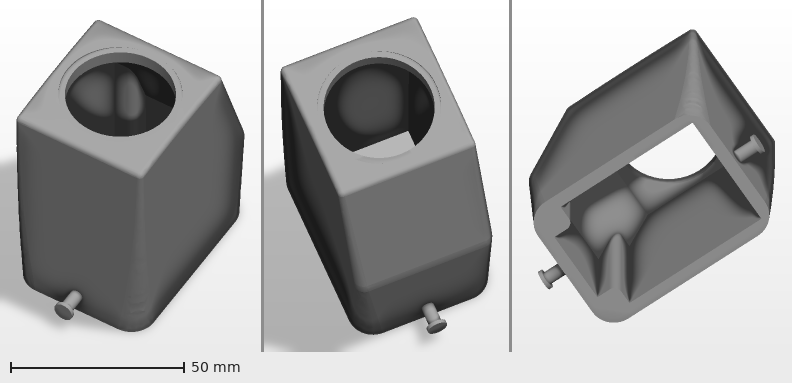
import cadquery as cq
import math

width = 43.0
base_half_depth = 30.1
height = 72.0
front_lean = 0.8
knee_y = 29.7
knee_z = 32.8
knee_low = 31.35
knee_high = 34.2
slope_top_y = 15.2

base_radius = 7.5
top_radius = 1.5
knee_radius = 3.0
top_edge_radius = 1.4

crown_radius = 307.5
entry_y = -5.9
entry_radius = 16.05
seat_radius = 17.9
seat_flat_offset = 17.4

wall = 3.75
roof = 4.9

pillar_inner_x = 11.1
pillar_front_y = 19.65
pillar_edge_radius = 2.4

pin_span = 75.0
pin_radius = 1.95
pin_head_radius = 3.0
pin_head_length = 1.1
pin_z = 6.3


def blend(start, end, fraction):
    return start + (end - start) * fraction


def front_y(z):
    return -base_half_depth + front_lean * z / height


def wall_line_y(z):
    return blend(base_half_depth, knee_y, z / knee_z)


def slope_line_y(z):
    return blend(knee_y, slope_top_y, (z - knee_z) / (height - knee_z))


def rear_y(z):
    """Rear profile: upright wall, parabolic blend at the knee, straight slope."""
    if z <= knee_low:
        return wall_line_y(z)
    if z >= knee_high:
        return slope_line_y(z)
    t = (z - knee_low) / (knee_high - knee_low)
    low = wall_line_y(knee_low)
    high = slope_line_y(knee_high)
    return (1 - t) ** 2 * low + 2 * t * (1 - t) * knee_y + t**2 * high


def front_radius(z):
    return top_radius + (base_radius - top_radius) * (1 - z / height) ** 2


def rear_radius(z):
    if z <= knee_z:
        return blend(base_radius, knee_radius, z / knee_z)
    return blend(knee_radius, top_radius, (z - knee_z) / (height - knee_z))


def section(z, half, wall_y, radius, far_y):
    """Horizontal outline with rounded corners at wall_y and square corners at far_y."""
    inward = math.copysign(1, far_y - wall_y)
    bow = radius * (1 - math.sqrt(0.5))
    outline = (
        cq.Workplane("XY", origin=(0, 0, z))
        .moveTo(-half + radius, wall_y)
        .lineTo(half - radius, wall_y)
        .threePointArc((half - bow, wall_y + inward * bow), (half, wall_y + inward * radius))
        .lineTo(half, far_y)
        .lineTo(-half, far_y)
        .lineTo(-half, wall_y + inward * radius)
        .threePointArc((-half + bow, wall_y + inward * bow), (-half + radius, wall_y))
        .close()
    )
    return outline.val()


def loft_between(bottom, top, wall_at, radius_at, far_y):
    """Smooth loft of one rounded wall, with its square side out at far_y."""
    levels = (bottom, (bottom + top) / 2, top)
    wires = [section(z, width / 2, wall_at(z), radius_at(z), far_y) for z in levels]
    return cq.Workplane(cq.Solid.makeLoft(wires))


def tapered_body():
    beyond = base_half_depth + wall
    front = loft_between(0, height, front_y, front_radius, beyond)
    levels = (0, knee_low, knee_high, height)
    rear = cq.Workplane()
    for low, high in zip(levels, levels[1:]):
        rear = rear.add(loft_between(low, high, rear_y, rear_radius, -beyond))
    return front.intersect(rear.combine())


def crown():
    return (
        cq.Workplane("YZ", origin=(-width, 0, 0))
        .center(entry_y, height - crown_radius)
        .circle(crown_radius)
        .extrude(2 * width)
    )


def outer_body():
    body = tapered_body().intersect(crown())
    return body.faces(">Z").edges().fillet(top_edge_radius)


def cavity():
    """Square-cornered space that follows the front wall, the rear wall and the slope."""
    ceiling = height - roof
    outline = [
        (front_y(0) + wall, 0),
        (front_y(ceiling) + wall, ceiling),
        (slope_line_y(ceiling) - wall, ceiling),
        (knee_y - wall, knee_z),
        (wall_line_y(0) - wall, 0),
    ]
    space = cq.Workplane("YZ").polyline(outline).close().extrude(width / 2 - wall, both=True)
    return space.cut(pillar(1)).cut(pillar(-1))


def pillar(side):
    """Full-height corner block with a rounded inner edge; side is +1 or -1 along X."""
    size_x = width / 2 - pillar_inner_x
    size_y = base_half_depth - pillar_front_y
    block = (
        cq.Workplane("XY")
        .center(side * (pillar_inner_x + size_x / 2), pillar_front_y + size_y / 2)
        .rect(size_x, size_y)
        .extrude(height)
    )
    inner_edge = "<X" if side > 0 else ">X"
    return block.faces(inner_edge).edges("<Y").fillet(pillar_edge_radius)


def vertical_cylinder(radius, bottom):
    return cq.Workplane("XY", origin=(0, entry_y, bottom)).circle(radius).extrude(height)


def pin(side):
    """Headed pin reaching outwards from the middle of the wall; side is +1 rear, -1 front."""
    start = base_half_depth - wall / 2
    tip = pin_span / 2
    axis = cq.Vector(0, side, 0)
    shank = cq.Solid.makeCylinder(pin_radius, tip - start, cq.Vector(0, side * start, pin_z), axis)
    head_start = cq.Vector(0, side * (tip - pin_head_length), pin_z)
    head = cq.Solid.makeCylinder(pin_head_radius, pin_head_length, head_start, axis)
    return cq.Workplane(shank).union(cq.Workplane(head))


seat_z = height - crown_radius + math.sqrt(crown_radius**2 - seat_flat_offset**2)

result = outer_body().cut(cavity())
result = result.cut(vertical_cylinder(seat_radius, seat_z))
result = result.cut(vertical_cylinder(entry_radius, height - 2 * roof))
for side in (-1, 1):
    result = result.union(pin(side))